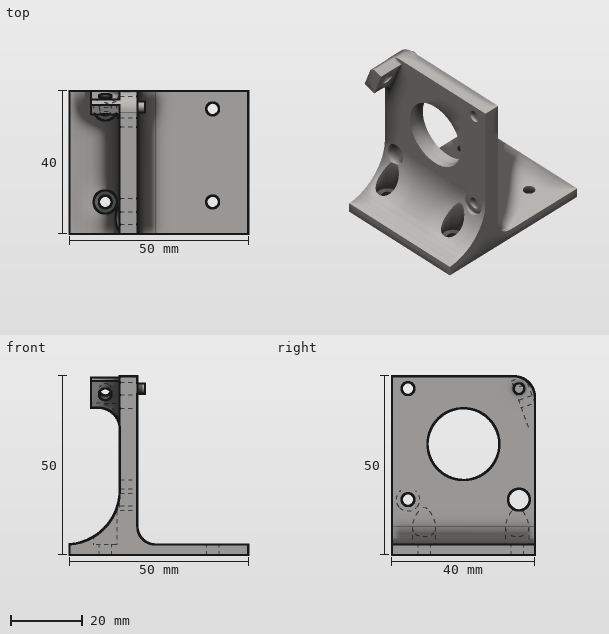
import cadquery as cq
import math

LENGTH = 50
WIDTH = 40
HEIGHT = 50
BASE_THICKNESS = 3
WALL_FRONT = 14
WALL_THICKNESS = 5
WALL_BACK = WALL_FRONT + WALL_THICKNESS
FRONT_SWEEP_RADIUS = 15
BACK_FILLET_RADIUS = 5
CORNER_RADIUS = 6

SCREW_HOLE_DIAMETER = 3.5
SCREW_HEAD_DIAMETER = 6.5

BORE_DIAMETER = 20
BORE_Y = WIDTH / 2
BORE_Z = 31
PATTERN_OFFSET = 15.5
NEAR_Y = BORE_Y - PATTERN_OFFSET
FAR_Y = BORE_Y + PATTERN_OFFSET
LOW_Z = BORE_Z - PATTERN_OFFSET
HIGH_Z = BORE_Z + PATTERN_OFFSET
ACCESS_HOLE_DIAMETER = 6
PEG_DIAMETER = 3
PEG_LENGTH = 2.1

FRONT_HOLE_X = 10
BACK_HOLE_X = 40
BASE_HOLE_YS = (9, 35)
HEAD_SEAT_Z = BASE_THICKNESS

EAR_TILT = 20
EAR_REACH = 8
EAR_HEIGHT = 8
EAR_THICKNESS = 4
EAR_FILLET_RADIUS = 6
EAR_CORNER_Y = 33.45
EAR_CORNER_Z = 48.65


def x_cylinder(diameter, y, z, x_start, x_end):
    """Cylinder running along X between two positions."""
    return cq.Workplane("YZ", origin=(x_start, y, z)).circle(diameter / 2).extrude(x_end - x_start)


def z_cylinder(diameter, x, y, z_start, z_end):
    """Cylinder running along Z between two positions."""
    return cq.Workplane("XY", origin=(x, y, z_start)).circle(diameter / 2).extrude(z_end - z_start)


def make_bracket():
    """Base and wall in one profile, blended by a concave sweep and a fillet."""
    sweep_x = WALL_FRONT - FRONT_SWEEP_RADIUS
    sweep_z = BASE_THICKNESS + FRONT_SWEEP_RADIUS
    front_z = sweep_z - math.sqrt(FRONT_SWEEP_RADIUS**2 - sweep_x**2)
    diagonal = FRONT_SWEEP_RADIUS * math.sqrt(0.5)
    profile = (
        cq.Workplane("XZ")
        .lineTo(LENGTH, 0)
        .lineTo(LENGTH, BASE_THICKNESS)
        .lineTo(WALL_BACK + BACK_FILLET_RADIUS, BASE_THICKNESS)
        .radiusArc((WALL_BACK, BASE_THICKNESS + BACK_FILLET_RADIUS), BACK_FILLET_RADIUS)
        .lineTo(WALL_BACK, HEIGHT)
        .lineTo(WALL_FRONT, HEIGHT)
        .lineTo(WALL_FRONT, sweep_z)
        .threePointArc((sweep_x + diagonal, sweep_z - diagonal), (0, front_z))
        .close()
    )
    return profile.extrude(-WIDTH)


def make_ear():
    """Drilled ear with a filleted root, tilted about the X axis."""
    root_z = -EAR_HEIGHT - EAR_FILLET_RADIUS
    ear = (
        cq.Workplane("XZ")
        .lineTo(-EAR_REACH, 0)
        .lineTo(-EAR_REACH, -EAR_HEIGHT)
        .lineTo(-EAR_FILLET_RADIUS, -EAR_HEIGHT)
        .radiusArc((0, root_z), EAR_FILLET_RADIUS)
        .close()
        .extrude(-EAR_THICKNESS)
    )
    hole = (
        cq.Workplane("XZ")
        .center(-EAR_REACH / 2, -EAR_HEIGHT / 2)
        .circle(SCREW_HOLE_DIAMETER / 2)
        .extrude(-EAR_THICKNESS)
    )
    ear = ear.cut(hole).rotate((0, 0, 0), (1, 0, 0), EAR_TILT)
    return ear.translate((WALL_FRONT, EAR_CORNER_Y, EAR_CORNER_Z))


def make_envelope():
    """Block with the rounded upper corner that trims both the wall and the ear."""
    block = cq.Workplane("XY").box(LENGTH, WIDTH, HEIGHT, centered=False)
    return block.edges(">Y and >Z").fillet(CORNER_RADIUS)


result = make_bracket().union(make_ear()).intersect(make_envelope())

result = result.cut(x_cylinder(BORE_DIAMETER, BORE_Y, BORE_Z, WALL_FRONT, WALL_BACK))
for screw_z in (LOW_Z, HIGH_Z):
    result = result.cut(x_cylinder(SCREW_HOLE_DIAMETER, NEAR_Y, screw_z, 0, WALL_BACK))
result = result.cut(x_cylinder(SCREW_HEAD_DIAMETER, NEAR_Y, LOW_Z, 0, WALL_FRONT))
result = result.cut(x_cylinder(ACCESS_HOLE_DIAMETER, FAR_Y, LOW_Z, 0, WALL_BACK))

for hole_y in BASE_HOLE_YS:
    for hole_x in (FRONT_HOLE_X, BACK_HOLE_X):
        result = result.cut(z_cylinder(SCREW_HOLE_DIAMETER, hole_x, hole_y, 0, HEAD_SEAT_Z))
    head_top_z = BASE_THICKNESS + FRONT_SWEEP_RADIUS
    result = result.cut(z_cylinder(SCREW_HEAD_DIAMETER, FRONT_HOLE_X, hole_y, HEAD_SEAT_Z, head_top_z))

result = result.union(x_cylinder(PEG_DIAMETER, FAR_Y, HIGH_Z, WALL_BACK, WALL_BACK + PEG_LENGTH))